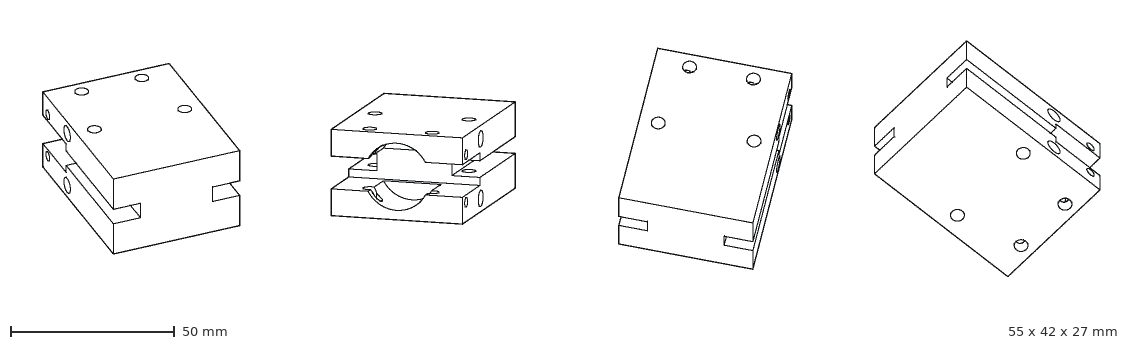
import cadquery as cq

LENGTH = 55.0
WIDTH = 42.0
HEIGHT = 27.0

JAW_DEPTH = 18.2
JAW_GAP = 10.2
SEAT_DIAMETER = 21.0
SEAT_DEPTH = 16.0

WEB_WIDTH = 24.0
SLOT_HEIGHT = 5.2

SCREW_DIAMETER = 4.2
JAW_SCREW_X = 4.5
JAW_SCREW_SPACING = 20.0
BODY_SCREW_X = 26.2
BODY_SCREW_SPACING = 30.0

SMALL_SIDE_DIAMETER = 3.0
SMALL_SIDE_X = 3.9
SMALL_SIDE_Z = 7.45
SMALL_FRONT_DEPTH = 12.0
SMALL_REAR_DEPTH = 15.0
LARGE_SIDE_DIAMETER = 5.0
LARGE_SIDE_X = 19.0
LARGE_SIDE_Z = 9.3
LARGE_SIDE_DEPTH = 10.0


def box_from(x_start, length, width, height):
    """Box starting at x_start, centred on Y and Z."""
    box = cq.Workplane("XY").box(length, width, height, centered=(False, True, True))
    return box.translate((x_start, 0, 0))


def jaw_opening():
    return box_from(0, JAW_DEPTH, WIDTH, JAW_GAP)


def round_seat():
    """Bore along X, opening into the jaw above and below."""
    return cq.Workplane("YZ").circle(SEAT_DIAMETER / 2).extrude(SEAT_DEPTH)


def side_slots():
    full_slot = box_from(0, LENGTH, WIDTH, SLOT_HEIGHT)
    return full_slot.cut(box_from(0, LENGTH, WEB_WIDTH, SLOT_HEIGHT))


def screw_holes(x, spacing):
    """Pair of vertical through holes, mirrored about Y = 0."""
    centres = [(x, spacing / 2), (x, -spacing / 2)]
    start = cq.Workplane("XY").workplane(offset=-HEIGHT / 2)
    return start.pushPoints(centres).circle(SCREW_DIAMETER / 2).extrude(HEIGHT)


def side_holes(x, z, diameter, front_depth, rear_depth):
    """Holes into both plates from the -Y side (front) and the +Y side (rear)."""
    centres = [(x, z), (x, -z)]
    front_face = cq.Workplane("XZ", origin=(0, -WIDTH / 2, 0))
    rear_face = cq.Workplane("XZ", origin=(0, WIDTH / 2, 0))
    front_pair = front_face.pushPoints(centres).circle(diameter / 2).extrude(-front_depth)
    rear_pair = rear_face.pushPoints(centres).circle(diameter / 2).extrude(rear_depth)
    return front_pair.union(rear_pair)


def small_side_holes():
    return side_holes(SMALL_SIDE_X, SMALL_SIDE_Z, SMALL_SIDE_DIAMETER, SMALL_FRONT_DEPTH, SMALL_REAR_DEPTH)


def large_side_holes():
    return side_holes(LARGE_SIDE_X, LARGE_SIDE_Z, LARGE_SIDE_DIAMETER, LARGE_SIDE_DEPTH, LARGE_SIDE_DEPTH)


result = box_from(0, LENGTH, WIDTH, HEIGHT)
result = result.cut(jaw_opening())
result = result.cut(round_seat())
result = result.cut(side_slots())
result = result.cut(screw_holes(JAW_SCREW_X, JAW_SCREW_SPACING))
result = result.cut(screw_holes(BODY_SCREW_X, BODY_SCREW_SPACING))
result = result.cut(small_side_holes())
result = result.cut(large_side_holes())